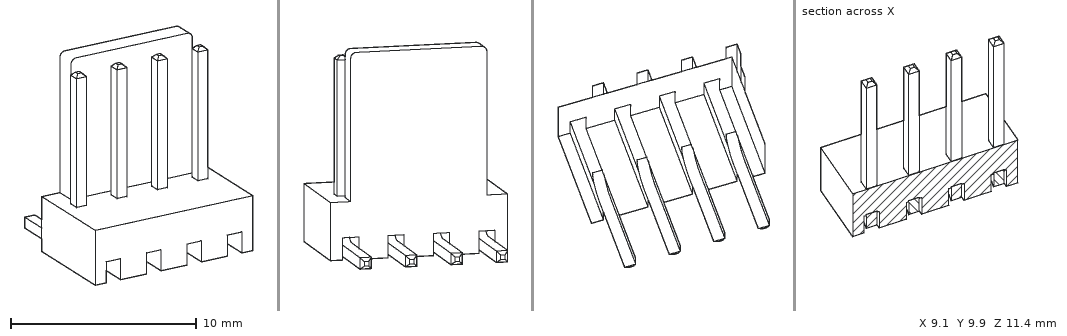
import cadquery as cq

block_length = 5.7
block_width = 9.9
block_height = 3.2

pin_count = 4
pin_span = 7.62
pin_pitch = pin_span / (pin_count - 1)
wall_thickness = 1.2
wall_width = pin_span
total_height = 11.4
wall_corner_radius = 0.32

pin_side = 0.64
pin_reach = 3.4
pin_top = 10.89
upright_center_x = 2.0
tail_center_z = 0.41
tip_length = 0.19
tip_side = 0.25
bend_inner_radius = 0.68

slot_width = 0.9
slot_height = 1.23

pin_positions = [(i - (pin_count - 1) / 2) * pin_pitch for i in range(pin_count)]
bend_center_radius = bend_inner_radius + pin_side / 2


def make_pin_path():
    """Centreline from the tail, round the bend and up, without the tapered tips."""
    return (
        cq.Workplane("XZ")
        .moveTo(-pin_reach + tip_length, tail_center_z)
        .lineTo(upright_center_x - bend_center_radius, tail_center_z)
        .tangentArcPoint((bend_center_radius, bend_center_radius))
        .lineTo(upright_center_x, pin_top - tip_length)
    )


def make_pin(y):
    """One L-shaped pin with a blunt pyramid at each end."""
    shank = (
        cq.Workplane("YZ", origin=(-pin_reach + tip_length, 0, tail_center_z))
        .rect(pin_side, pin_side)
        .sweep(make_pin_path())
    )
    pin = (
        shank.faces("<X").workplane(centerOption="CenterOfBoundBox")
        .rect(pin_side, pin_side)
        .workplane(offset=tip_length)
        .rect(tip_side, tip_side)
        .loft(combine=True)
    )
    pin = (
        pin.faces(">Z").workplane(centerOption="CenterOfBoundBox")
        .rect(pin_side, pin_side)
        .workplane(offset=tip_length)
        .rect(tip_side, tip_side)
        .loft(combine=True)
    )
    return pin.translate((0, y, 0))


def make_housing(pins):
    """Block and wall in one piece, with open channels and matching pin holes."""
    from_corner = (False, True, False)
    block = cq.Workplane("XY").box(block_length, block_width, block_height, centered=from_corner)
    wall = (
        cq.Workplane("XY")
        .box(wall_thickness, wall_width, total_height, centered=from_corner)
        .edges("|X and >Z")
        .fillet(wall_corner_radius)
    )
    body = block.union(wall)
    for y in pin_positions:
        slot = cq.Workplane("XY").box(block_length, slot_width, slot_height, centered=from_corner)
        body = body.cut(slot.translate((0, y, 0)))
    for pin in pins:
        body = body.cut(pin)
    return body


pins = [make_pin(y) for y in pin_positions]
housing = make_housing(pins)

result = cq.Compound.makeCompound([housing.val(), *[pin.val() for pin in pins]])